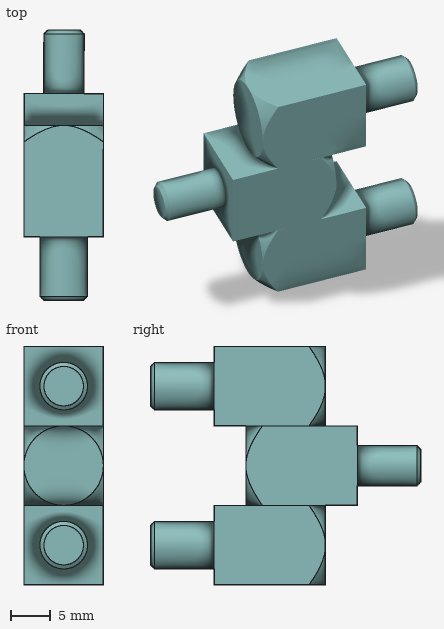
import cadquery as cq

block_width = 10.0
total_length = 34.0
stud_length = 8.0
front_stud_diameter = 6.0
rear_stud_diameter = 5.1
stud_chamfer = 0.5
middle_swivel = 0.15

half_width = block_width / 2
nose_y = half_width
shoulder_y = stud_length - total_length / 2
block_length = nose_y - shoulder_y


def make_block():
    """Square block whose nose corners are cut by a 45 degree cone."""
    block = (
        cq.Workplane("XZ", origin=(0, shoulder_y, 0))
        .rect(block_width, block_width)
        .extrude(-block_length)
    )
    shoulder_radius = half_width + block_length
    nose_cone = (
        cq.Workplane("XY")
        .moveTo(0, shoulder_y)
        .lineTo(shoulder_radius, shoulder_y)
        .lineTo(half_width, nose_y)
        .lineTo(0, nose_y)
        .close()
        .revolve(360, (0, 0, 0), (0, 1, 0))
    )
    return block.intersect(nose_cone)


def make_stud(diameter):
    """Round stud toward -Y with a chamfered tip."""
    return (
        cq.Workplane("XZ", origin=(0, shoulder_y, 0))
        .circle(diameter / 2)
        .extrude(stud_length)
        .faces("<Y")
        .chamfer(stud_chamfer)
    )


def make_link(stud_diameter):
    """One link: block and stud in one piece, with the stud toward -Y."""
    return make_block().union(make_stud(stud_diameter))


outer_links = [
    make_link(front_stud_diameter).translate((0, 0, side * block_width))
    for side in (-1, 1)
]

middle_link = make_link(rear_stud_diameter).rotate((0, 0, 0), (0, 0, 1), 180 - middle_swivel)

result = cq.Compound.makeCompound([middle_link.val(), *[link.val() for link in outer_links]])